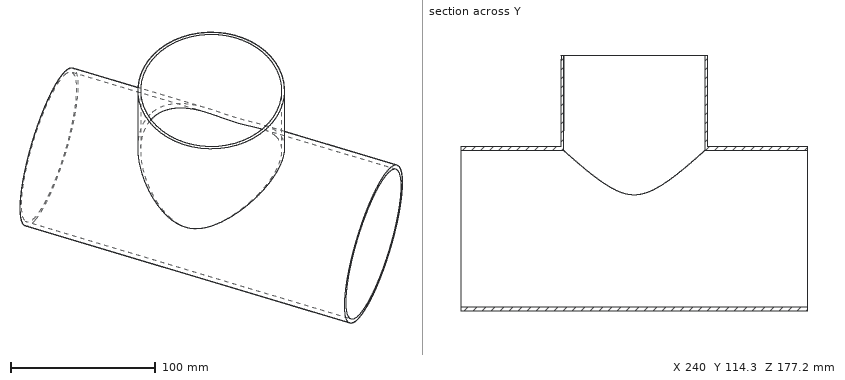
import cadquery as cq

RUN_LENGTH = 240.0
RUN_OUTER_DIAMETER = 114.3
RUN_WALL = 3.0
BRANCH_HEIGHT = 120.0
BRANCH_OUTER_DIAMETER = 101.6
BRANCH_WALL = 2.0

run_bore_diameter = RUN_OUTER_DIAMETER - 2 * RUN_WALL
branch_bore_diameter = BRANCH_OUTER_DIAMETER - 2 * BRANCH_WALL


def run_cylinder(diameter):
    """Solid cylinder along X, centred on the origin."""
    return cq.Workplane("YZ").circle(diameter / 2).extrude(RUN_LENGTH / 2, both=True)


def branch_cylinder(diameter):
    """Solid cylinder along Z, from the run axis up to the branch end."""
    return cq.Workplane("XY").circle(diameter / 2).extrude(BRANCH_HEIGHT)


outer_body = run_cylinder(RUN_OUTER_DIAMETER).union(branch_cylinder(BRANCH_OUTER_DIAMETER))

result = outer_body.cut(run_cylinder(run_bore_diameter)).cut(branch_cylinder(branch_bore_diameter))